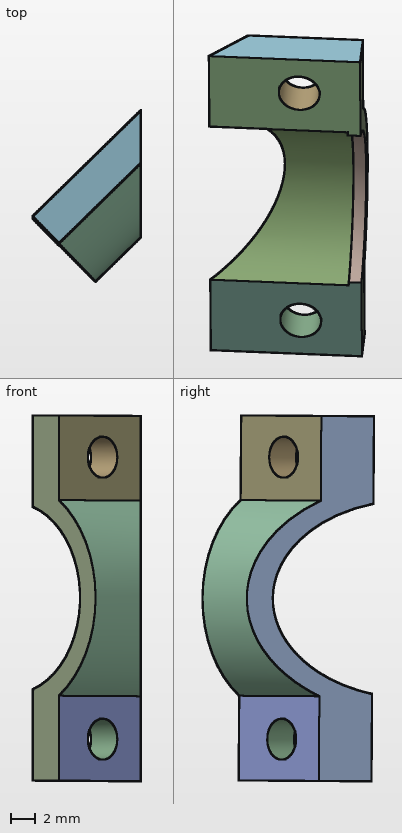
import cadquery as cq
import math

overall_height = 29.48
width_x = 8.73
yaw = 44.4
lean = 0.4
ear_thickness = 3.05
saddle_height = 7.25
axis_setback = 2.2
wall = 1.8
lip_length = 1.03
lip_height = 0.3
hole_diameter = 3.3
hole_spacing = 22.7
hole_from_end = 4.92

yaw_rad = math.radians(yaw)
lean_rad = math.radians(lean)
outer_radius = saddle_height + axis_setback
lip_radius = outer_radius - wall
bore_radius = lip_radius + lip_height
ear_span_y = width_x * math.tan(yaw_rad) + ear_thickness * math.cos(yaw_rad)
height = (overall_height - ear_span_y * math.sin(lean_rad)) / math.cos(lean_rad)
bar_length = 2 * width_x


def bore_cylinder(radius, start, length):
    return cq.Workplane("YZ", origin=(start, axis_setback, 0)).circle(radius).extrude(length)


def outward_block(depth):
    return cq.Workplane("XY").box(bar_length, depth, height, centered=(False, False, True)).translate(
        (0, -depth, 0)
    )


def clamp_body():
    ears = outward_block(ear_thickness)
    saddle = bore_cylinder(outer_radius, 0, bar_length).intersect(outward_block(saddle_height))
    return ears.union(saddle)


def stepped_bore():
    lip = bore_cylinder(lip_radius, 0, lip_length)
    return lip.union(bore_cylinder(bore_radius, lip_length, bar_length))


def bolt_holes():
    return (
        cq.Workplane("XZ")
        .pushPoints([(hole_from_end, side * hole_spacing / 2) for side in (-1, 1)])
        .circle(hole_diameter / 2)
        .extrude(ear_thickness)
    )


def trim_block():
    """Space kept in front of the vertical face that cuts the bar at an angle."""
    reach = 2 * overall_height
    return cq.Workplane("XY").box(reach, reach, reach).translate((width_x - reach / 2, 0, 0))


clamp = clamp_body().cut(stepped_bore()).cut(bolt_holes())
clamp = clamp.rotate((0, 0, 0), (0, 0, 1), yaw).rotate((0, 0, 0), (1, 0, 0), -lean)
result = clamp.intersect(trim_block())